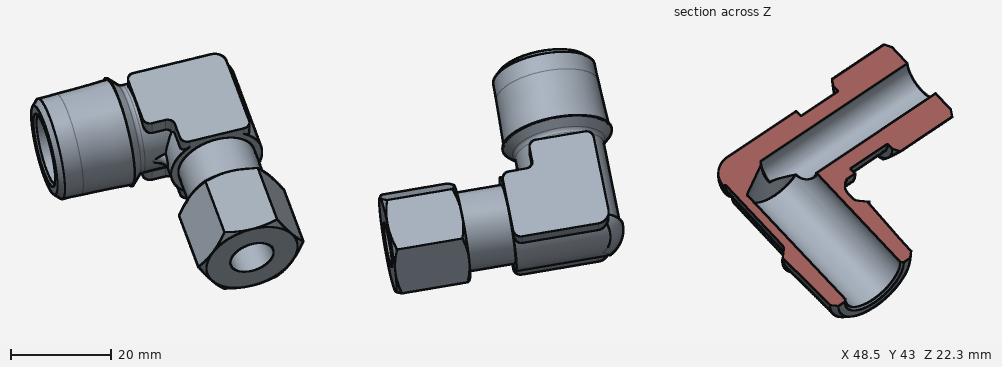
import cadquery as cq
import math


stem_radius = 9.0
stem_end = 32.0
neck_start = 13.7
neck_end = 14.7
neck_radius = 9.4
collar_radius = 11.14
collar_end = neck_end + collar_radius - neck_radius
thread_top_radius = 10.8
thread_break = 27.0
thread_break_radius = 10.42
thread_tip = 30.8
thread_tip_radius = 10.35
stem_face_radius = 9.15

body_radius = 9.5
body_end = 13.0
heel_fillet = 5.0
heel_base = body_radius - heel_fillet

tube_radius = 8.0
nut_start = 22.4
nut_length = 15.0
nut_end = nut_start + nut_length
nut_flats = 19.0
nut_corner_radius = nut_flats / 2 / math.cos(math.radians(30))
nut_chamfer = (nut_corner_radius - nut_flats / 2) * math.tan(math.radians(30))

pad_half_height = 9.5
pad_half_width_stem = 6.5
pad_half_width_branch = 7.2
pad_foot = 13.0
pad_corner_radius = 1.5
pad_heel_radius = 2.5

web_bend_radius = 3.0
web_tube_radius = 1.5
web_branch_overlap = 0.2

stem_bore_radius = 7.0
stem_bore_chamfer = 0.5
branch_bore_radius = 4.5
drill_tip_slope = math.tan(math.radians(30))


def x_cylinder(radius, start, end):
    """Cylinder on the X axis between two X positions."""
    return cq.Workplane("YZ", origin=(start, 0, 0)).circle(radius).extrude(end - start)


def make_stem():
    """Stem with curved neck, conical collar and tapered thread envelope."""
    return (
        cq.Workplane("XY")
        .moveTo(0, heel_base)
        .lineTo(stem_radius, heel_base)
        .lineTo(stem_radius, -neck_start)
        .tangentArcPoint((neck_radius, -neck_end), relative=False)
        .lineTo(collar_radius, -collar_end)
        .lineTo(thread_top_radius, -collar_end)
        .lineTo(thread_break_radius, -thread_break)
        .lineTo(thread_tip_radius, -thread_tip)
        .lineTo(stem_face_radius, -stem_end)
        .lineTo(0, -stem_end)
        .close()
        .revolve(360, (0, 0, 0), (0, 1, 0))
    )


def make_heel():
    """Domed back of the elbow: a rounded disc about Y, trimmed to the branch body cylinder."""
    arc_middle = heel_base + heel_fillet * math.sin(math.radians(45))
    dome = (
        cq.Workplane("XY")
        .moveTo(0, heel_base)
        .lineTo(body_radius, heel_base)
        .threePointArc((arc_middle, arc_middle), (heel_base, body_radius))
        .lineTo(0, body_radius)
        .close()
        .revolve(360, (0, 0, 0), (0, 1, 0))
    )
    return dome.intersect(x_cylinder(body_radius, -body_radius, body_end))


def make_nut():
    """Hex nut with corners on Y and 30 degree chamfers at both ends."""
    hexagon = (
        cq.Workplane("YZ", origin=(nut_start, 0, 0))
        .polygon(6, 2 * nut_corner_radius)
        .extrude(nut_length)
    )
    chamfer_envelope = (
        cq.Workplane("XY")
        .moveTo(nut_start, 0)
        .lineTo(nut_start, nut_flats / 2)
        .lineTo(nut_start + nut_chamfer, nut_corner_radius)
        .lineTo(nut_end - nut_chamfer, nut_corner_radius)
        .lineTo(nut_end, nut_flats / 2)
        .lineTo(nut_end, 0)
        .close()
        .revolve(360, (0, 0, 0), (1, 0, 0))
    )
    return hexagon.intersect(chamfer_envelope)


def make_pads():
    """L-shaped slab whose faces stand out above and below the round body."""
    heel_corner = (-pad_half_width_stem, pad_half_width_branch)
    other_corners = [
        (body_end, pad_half_width_branch),
        (body_end, -pad_half_width_branch),
        (pad_half_width_stem, -pad_half_width_branch),
        (pad_half_width_stem, -pad_foot),
        (-pad_half_width_stem, -pad_foot),
    ]
    slab = (
        cq.Workplane("XY")
        .polyline([heel_corner] + other_corners)
        .close()
        .extrude(pad_half_height, both=True)
    )
    for x, y in other_corners:
        slab = slab.edges(cq.selectors.NearestToPointSelector((x, y, 0))).fillet(pad_corner_radius)
    x, y = heel_corner
    return slab.edges(cq.selectors.NearestToPointSelector((x, y, 0))).fillet(pad_heel_radius)


def make_web():
    """Quarter ring of round section bridging the inner corner of stem and branch."""
    bend_x = stem_radius + web_bend_radius
    bend_y = web_branch_overlap - body_radius - web_bend_radius
    section_offset = web_bend_radius + web_tube_radius
    return (
        cq.Workplane("XZ", origin=(bend_x, bend_y, 0))
        .center(-section_offset, 0)
        .circle(web_tube_radius)
        .revolve(90, (section_offset, 0, 0), (section_offset, -1, 0))
    )


def make_stem_bore():
    """Stem bore up to the branch axis, with a conical tip and a chamfered mouth."""
    return (
        cq.Workplane("XY")
        .moveTo(0, -stem_end)
        .lineTo(stem_bore_radius + stem_bore_chamfer, -stem_end)
        .lineTo(stem_bore_radius, -stem_end + stem_bore_chamfer)
        .lineTo(stem_bore_radius, 0)
        .lineTo(0, stem_bore_radius * drill_tip_slope)
        .close()
        .revolve(360, (0, 0, 0), (0, 1, 0))
    )


def make_branch_bore():
    """Branch bore from the nut face to the stem axis, with a conical tip."""
    return (
        cq.Workplane("XY")
        .moveTo(nut_end, 0)
        .lineTo(nut_end, branch_bore_radius)
        .lineTo(0, branch_bore_radius)
        .lineTo(-branch_bore_radius * drill_tip_slope, 0)
        .close()
        .revolve(360, (0, 0, 0), (1, 0, 0))
    )


result = (
    make_stem()
    .union(x_cylinder(body_radius, 0, body_end))
    .union(make_heel())
    .union(make_pads())
    .union(make_web())
    .union(x_cylinder(tube_radius, 0, nut_start))
    .union(make_nut())
    .cut(make_stem_bore())
    .cut(make_branch_bore())
)